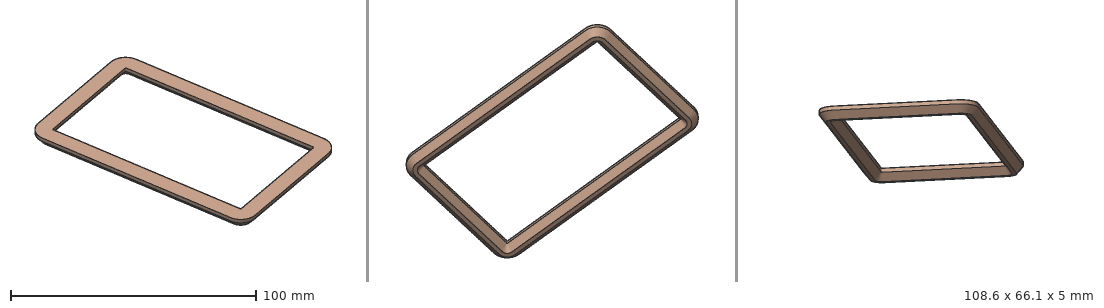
import cadquery as cq

length = 108.6
width = 66.1
height = 5.0

rail_width = 7.3
rim_height = 1.7
bottom_inset = 2.7
skirt_height = height - rim_height

window_corner_radius = 0.1
outer_corner_radius = window_corner_radius + rail_width
corner_span_x = length - 2 * outer_corner_radius
corner_span_y = width - 2 * outer_corner_radius


def rounded_outline(corner_radius, level):
    """Rounded rectangle about the shared corner centres, at the given height."""
    return (
        cq.Sketch()
        .rect(corner_span_x + 2 * corner_radius, corner_span_y + 2 * corner_radius)
        .vertices()
        .fillet(corner_radius)
        .moved(cq.Location(cq.Vector(0, 0, level)))
    )


def stepped_block(top_radius, bottom_radius):
    """Upright rim standing on a sloping skirt, with the given corner radii."""
    rim_outline = rounded_outline(top_radius, skirt_height)
    bottom_outline = rounded_outline(bottom_radius, 0)
    rim = cq.Workplane("XY").placeSketch(rim_outline).extrude(rim_height)
    skirt = cq.Workplane("XY").placeSketch(bottom_outline, rim_outline).loft()
    return rim.union(skirt)


outer_block = stepped_block(outer_corner_radius, outer_corner_radius - bottom_inset)
window = stepped_block(window_corner_radius, window_corner_radius + bottom_inset)

result = outer_block.cut(window)